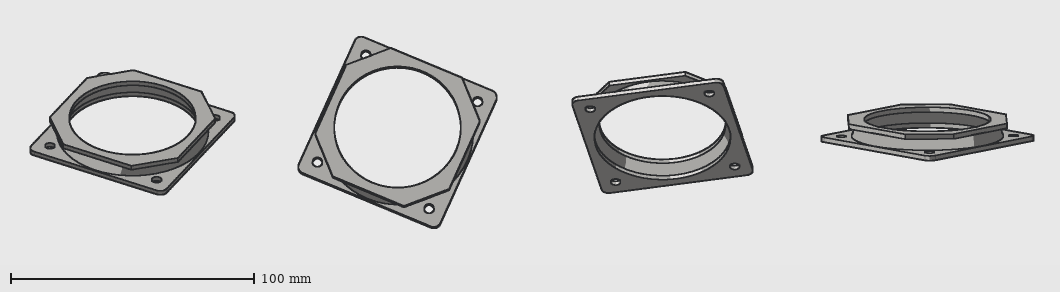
import cadquery as cq

plate_side = 63.45
plate_thickness = 2.0
corner_radius = 3.0
screw_hole_diameter = 4.0
screw_hole_pitch = 50.0

flange_width = 60.05
flange_flat = 31.85
flange_thickness = plate_thickness

total_height = 9.0
neck_bottom_diameter = 62.45
neck_top_diameter = 58.4

plate_bore_diameter = 56.0
flange_bore_diameter = 52.0

flange_bottom = total_height - flange_thickness
neck_height = flange_bottom - plate_thickness


def cylinder(diameter, bottom, height):
    return cq.Workplane("XY").workplane(offset=bottom).circle(diameter / 2).extrude(height)


def neck_cone(bottom_diameter, top_diameter):
    """Solid cone frustum spanning the height of the neck."""
    return (
        cq.Workplane("XY")
        .workplane(offset=plate_thickness)
        .circle(bottom_diameter / 2)
        .workplane(offset=neck_height)
        .circle(top_diameter / 2)
        .loft(ruled=True)
    )


def base_plate():
    return (
        cq.Workplane("XY")
        .rect(plate_side, plate_side)
        .extrude(plate_thickness)
        .edges("|Z")
        .fillet(corner_radius)
        .faces(">Z")
        .workplane()
        .rect(screw_hole_pitch, screw_hole_pitch, forConstruction=True)
        .vertices()
        .hole(screw_hole_diameter)
    )


def top_flange():
    corner_cut = (flange_width - flange_flat) / 2
    return (
        cq.Workplane("XY")
        .workplane(offset=flange_bottom)
        .rect(flange_width, flange_width)
        .extrude(flange_thickness)
        .edges("|Z")
        .chamfer(corner_cut)
    )


def bore():
    plate_bore = cylinder(plate_bore_diameter, 0, plate_thickness)
    neck_bore = neck_cone(plate_bore_diameter, flange_bore_diameter)
    flange_bore = cylinder(flange_bore_diameter, flange_bottom, flange_thickness)
    return plate_bore.union(neck_bore).union(flange_bore)


neck = neck_cone(neck_bottom_diameter, neck_top_diameter)
result = base_plate().union(neck).union(top_flange()).cut(bore())